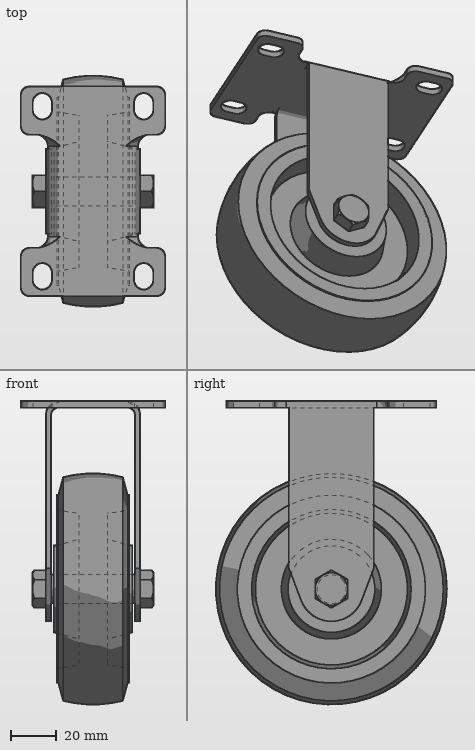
import cadquery as cq
import math


plate_top = 82.55
plate_width = 63.5
plate_length = 92.075
plate_thickness = 3.05
plate_corner_radius = 3.97
pad_inner_y = 24.75
slot_width = 8.33
slot_length = 11.5
slot_spacing_x = 44.45
slot_spacing_y = 74.6

leg_outer_x = 20.7
leg_thickness = 2.35
leg_half_width = 18.6
bend_outer_radius = 6.2
bend_half_length = 19.85
leg_end_radius = 14.2
leg_taper_start_z = 9.05

waist_pad_x = 23.7
waist_bottom_bow = 1.0
waist_top_bow = 0.8
waist_root = 1.0

axle_diameter = 12.7
hex_across_flats = 14.29
hex_chamfer_length = 0.9
head_end_x = 26.6

wheel_diameter = 101.6
tread_edge_diameter = 98.2
tread_half_width = 13.1
rim_diameter = 82.55
rim_half_width = 15.9
tyre_side_half_width = 15.2
recess_mouth_diameter = 70.0
recess_floor_diameter = 66.7
web_half_thickness = 6.35
hub_base_diameter = 43.9
hub_end_diameter = 38.1
hub_half_width = 17.3

plate_bottom = plate_top - plate_thickness
leg_inner_x = leg_outer_x - leg_thickness
bend_line_x = leg_outer_x - bend_outer_radius
bend_start_z = plate_top - bend_outer_radius
bend_inner_radius = bend_outer_radius - plate_thickness
waist_x = bend_line_x + math.sqrt(bend_outer_radius**2 - bend_inner_radius**2)
hex_across_corners = hex_across_flats / math.cos(math.pi / 6)


def arc_middle(start, end, bow):
    """Point on an arc from start to end that bows to the left of its chord."""
    dx = end[0] - start[0]
    dy = end[1] - start[1]
    chord = math.hypot(dx, dy)
    return (
        (start[0] + end[0]) / 2 - bow * dy / chord,
        (start[1] + end[1]) / 2 + bow * dx / chord,
    )


def mirror_to_both_sides(half):
    return half.union(half.mirror("YZ"))


def make_plate():
    plate = (
        cq.Workplane("XY", origin=(0, 0, plate_bottom))
        .rect(plate_width, plate_length)
        .extrude(plate_thickness)
    )
    notch_width = plate_width / 2 - bend_line_x
    for side in (-1, 1):
        notch = cq.Workplane("XY").box(notch_width, 2 * pad_inner_y, plate_thickness)
        notch_x = side * (bend_line_x + notch_width / 2)
        plate = plate.cut(notch.translate((notch_x, 0, plate_bottom + plate_thickness / 2)))
    for edge_x in (-plate_width / 2, plate_width / 2):
        side_edges = cq.selectors.BoxSelector(
            (edge_x - plate_thickness, -plate_length, plate_bottom),
            (edge_x + plate_thickness, plate_length, plate_top),
        )
        plate = plate.edges("|Z").edges(side_edges).fillet(plate_corner_radius)
    slots = (
        cq.Workplane("XY", origin=(0, 0, plate_bottom))
        .rect(slot_spacing_x, slot_spacing_y, forConstruction=True)
        .vertices()
        .slot2D(slot_length, slot_width, 90)
        .extrude(plate_thickness)
    )
    return plate.cut(slots)


def make_bend():
    """Quarter-round shoulder that turns the plate down into the +X leg."""
    diagonal = math.sqrt(0.5)
    inner_centre_x = leg_inner_x - bend_inner_radius
    outer_mid = (
        bend_line_x + bend_outer_radius * diagonal,
        bend_start_z + bend_outer_radius * diagonal,
    )
    inner_mid = (
        inner_centre_x + bend_inner_radius * diagonal,
        bend_start_z + bend_inner_radius * diagonal,
    )
    bend = (
        cq.Workplane("XZ")
        .moveTo(bend_line_x, plate_top)
        .threePointArc(outer_mid, (leg_outer_x, bend_start_z))
        .lineTo(leg_inner_x, bend_start_z)
        .threePointArc(inner_mid, (inner_centre_x, plate_bottom))
        .lineTo(bend_line_x, plate_bottom)
        .close()
        .extrude(bend_half_length, both=True)
    )
    trim_top = (
        cq.Workplane("XY", origin=(0, 0, plate_bottom))
        .rect(plate_width, 2 * bend_half_length)
        .extrude(plate_thickness)
    )
    trim_leg = cq.Workplane("XY").rect(plate_width, 2 * leg_half_width).extrude(plate_bottom)
    return bend.intersect(trim_top.union(trim_leg))


def make_waist_fillet():
    """Web between the +X bend and the +Y pad; its side leans inward towards the top."""
    pad_point = (waist_pad_x, pad_inner_y)
    bottom_neck = (waist_x, bend_half_length)
    top_neck = (bend_line_x, bend_half_length)
    root_x = bend_line_x - waist_root

    def outline(z, neck, bow):
        return (
            cq.Workplane("XY", origin=(0, 0, z))
            .moveTo(root_x, bend_half_length)
            .lineTo(*neck)
            .threePointArc(arc_middle(neck, pad_point, bow), pad_point)
            .lineTo(root_x, pad_inner_y)
            .close()
            .val()
        )

    bottom = outline(plate_bottom, bottom_neck, waist_bottom_bow)
    top = outline(plate_top, top_neck, waist_top_bow)
    return cq.Workplane(cq.Solid.makeLoft([bottom, top], True))


def make_leg():
    corner_distance = math.hypot(leg_half_width, leg_taper_start_z)
    tangent_angle = math.atan2(leg_taper_start_z, leg_half_width) - math.acos(
        leg_end_radius / corner_distance
    )
    tangent_y = leg_end_radius * math.cos(tangent_angle)
    tangent_z = leg_end_radius * math.sin(tangent_angle)
    return (
        cq.Workplane("YZ", origin=(leg_inner_x, 0, 0))
        .moveTo(-leg_half_width, bend_start_z)
        .lineTo(-leg_half_width, leg_taper_start_z)
        .lineTo(-tangent_y, tangent_z)
        .threePointArc((0, -leg_end_radius), (tangent_y, tangent_z))
        .lineTo(leg_half_width, leg_taper_start_z)
        .lineTo(leg_half_width, bend_start_z)
        .close()
        .extrude(leg_thickness)
    )


def make_bolt_head():
    """Hexagonal head on the +X leg, corners up and down, with a chamfered outer end."""
    head_length = head_end_x - leg_outer_x
    hexagon = (
        cq.Workplane("YZ", origin=(leg_outer_x, 0, 0))
        .transformed(rotate=(0, 0, 90))
        .polygon(6, hex_across_corners)
        .extrude(head_length)
    )
    chamfered_disc = (
        cq.Workplane("XY")
        .moveTo(leg_outer_x, 0)
        .lineTo(leg_outer_x, hex_across_corners / 2)
        .lineTo(head_end_x - hex_chamfer_length, hex_across_corners / 2)
        .lineTo(head_end_x, hex_across_flats / 2)
        .lineTo(head_end_x, 0)
        .close()
        .revolve(360, (0, 0, 0), (1, 0, 0))
    )
    return hexagon.intersect(chamfered_disc)


def make_fork():
    """Plate, bends, legs and the fixed axle as one body."""
    web = make_waist_fillet()
    side = make_bend().union(make_leg()).union(make_bolt_head())
    side = side.union(web).union(web.mirror("XZ"))
    axle = (
        cq.Workplane("YZ", origin=(-leg_outer_x, 0, 0))
        .circle(axle_diameter / 2)
        .extrude(2 * leg_outer_x)
    )
    return make_plate().union(mirror_to_both_sides(side)).union(axle)


def make_wheel():
    """Crowned tyre, dished web and tapered hub, revolved around the axle."""
    bore_radius = axle_diameter / 2
    return (
        cq.Workplane("XY")
        .moveTo(-hub_half_width, bore_radius)
        .lineTo(-hub_half_width, hub_end_diameter / 2)
        .lineTo(-web_half_thickness, hub_base_diameter / 2)
        .lineTo(-web_half_thickness, recess_floor_diameter / 2)
        .lineTo(-rim_half_width, recess_mouth_diameter / 2)
        .lineTo(-rim_half_width, rim_diameter / 2)
        .lineTo(-tyre_side_half_width, rim_diameter / 2)
        .lineTo(-tread_half_width, tread_edge_diameter / 2)
        .threePointArc((0, wheel_diameter / 2), (tread_half_width, tread_edge_diameter / 2))
        .lineTo(tyre_side_half_width, rim_diameter / 2)
        .lineTo(rim_half_width, rim_diameter / 2)
        .lineTo(rim_half_width, recess_mouth_diameter / 2)
        .lineTo(web_half_thickness, recess_floor_diameter / 2)
        .lineTo(web_half_thickness, hub_base_diameter / 2)
        .lineTo(hub_half_width, hub_end_diameter / 2)
        .lineTo(hub_half_width, bore_radius)
        .close()
        .revolve(360, (0, 0, 0), (1, 0, 0))
    )


fork = make_fork()
wheel = make_wheel()

result = cq.Compound.makeCompound([fork.solids().val(), wheel.val()])